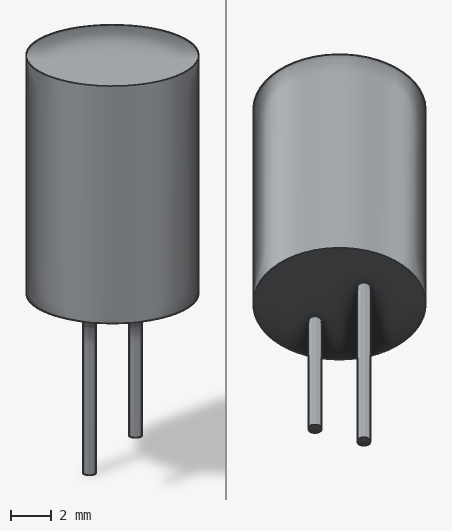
import cadquery as cq

TOTAL_HEIGHT = 22.5
BODY_DIAMETER = 8.5
LONG_LEAD_LENGTH = 10.0
SHORT_LEAD_LENGTH = 7.0
LEAD_DIAMETER = 0.65
LEAD_PITCH = 3.5

BODY_HEIGHT = TOTAL_HEIGHT - LONG_LEAD_LENGTH


def make_body():
    """Plain cylinder standing on Z = 0."""
    return cq.Workplane("XY").circle(BODY_DIAMETER / 2).extrude(BODY_HEIGHT)


def make_lead(x, length):
    """Round lead hanging down from the underside of the body."""
    return cq.Workplane("XY").center(x, 0).circle(LEAD_DIAMETER / 2).extrude(-length)


body = make_body()

lead_layout = [
    (-LEAD_PITCH / 2, LONG_LEAD_LENGTH),
    (LEAD_PITCH / 2, SHORT_LEAD_LENGTH),
]
leads = [make_lead(x, length) for x, length in lead_layout]

result = cq.Compound.makeCompound([body.val(), *[lead.val() for lead in leads]])